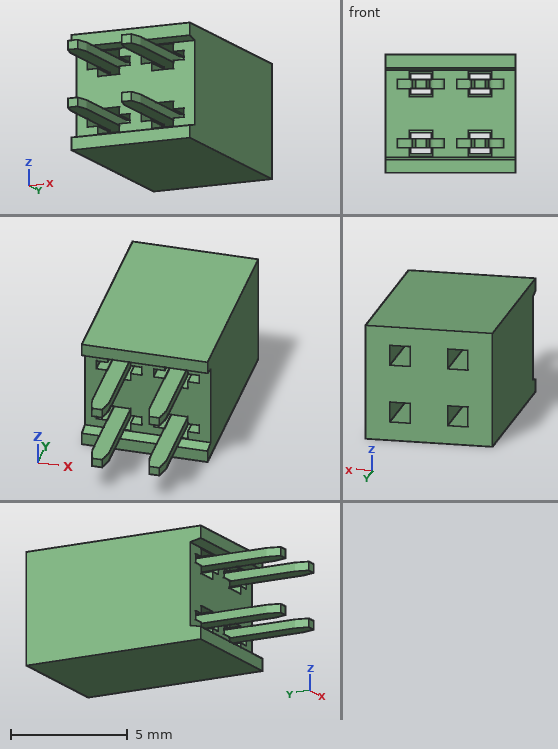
import cadquery as cq

TOTAL_LENGTH = 11.7
PITCH = 2.54
PIN_POSITIONS = [(sx * PITCH / 2, sz * PITCH / 2) for sx in (-1, 1) for sz in (-1, 1)]

HOUSING_WIDTH = 5.58
HOUSING_HEIGHT = 2 * PITCH
HOUSING_LENGTH = 8.51
LIP_EDGE_THICKNESS = 0.56
LIP_ROOT_THICKNESS = 0.68
RECESS_DEPTH = 0.51

CAVITY_DEPTH = 2.34
CAVITY_WIDTH = 1.02
CAVITY_HEIGHT = 1.1
THROUGH_HOLE_SIDE = 0.89

PIN_THICKNESS = 0.4
SHAFT_WIDTH = 0.75
SHOULDER_WIDTH = 2.01
SHOULDER_LENGTH = 1.17
SHOULDER_RADIUS = 0.2
TIP_WIDTH = 0.46
TIP_LENGTH = 0.6

TIP_Y = HOUSING_LENGTH - TOTAL_LENGTH
TAPER_Y = TIP_Y + TIP_LENGTH
CAVITY_FLOOR_Y = RECESS_DEPTH + CAVITY_DEPTH
SHOULDER_Y = CAVITY_FLOOR_Y - SHOULDER_LENGTH


def block(width, height, y_start, y_end, x, z):
    """Rectangular block centred on (x, z), running along Y from y_start to y_end."""
    length = y_end - y_start
    return cq.Workplane("XY").box(width, length, height).translate((x, y_start + length / 2, z))


def make_housing_blank():
    """Block with its profile in the YZ plane: a tapered lip along the top and bottom of the pin face."""
    half_height = HOUSING_HEIGHT / 2
    edge_z = half_height - LIP_EDGE_THICKNESS
    root_z = half_height - LIP_ROOT_THICKNESS
    profile = [
        (HOUSING_LENGTH, half_height),
        (0, half_height),
        (0, edge_z),
        (RECESS_DEPTH, root_z),
        (RECESS_DEPTH, -root_z),
        (0, -edge_z),
        (0, -half_height),
        (HOUSING_LENGTH, -half_height),
    ]
    return cq.Workplane("YZ").polyline(profile).close().extrude(HOUSING_WIDTH / 2, both=True)


def make_pin_opening(x, z):
    """Cavity with a wide slot for the pin shoulder, and a square hole through its floor."""
    cavity = block(CAVITY_WIDTH, CAVITY_HEIGHT, RECESS_DEPTH, CAVITY_FLOOR_Y, x, z)
    slot = block(SHOULDER_WIDTH, PIN_THICKNESS, RECESS_DEPTH, CAVITY_FLOOR_Y, x, z)
    through_hole = block(THROUGH_HOLE_SIDE, THROUGH_HOLE_SIDE, RECESS_DEPTH, HOUSING_LENGTH, x, z)
    return cavity.union(slot).union(through_hole)


def make_housing():
    housing = make_housing_blank()
    for x, z in PIN_POSITIONS:
        housing = housing.cut(make_pin_opening(x, z))
    return housing


def make_pin(x, z):
    """Flat pin: shoulder seated on the cavity floor, shaft with a tapered tip."""
    half_shoulder = SHOULDER_WIDTH / 2
    half_shaft = SHAFT_WIDTH / 2
    half_tip = TIP_WIDTH / 2
    outline = [
        (half_shoulder, CAVITY_FLOOR_Y),
        (half_shoulder, SHOULDER_Y),
        (half_shaft, SHOULDER_Y),
        (half_shaft, TAPER_Y),
        (half_tip, TIP_Y),
        (-half_tip, TIP_Y),
        (-half_shaft, TAPER_Y),
        (-half_shaft, SHOULDER_Y),
        (-half_shoulder, SHOULDER_Y),
        (-half_shoulder, CAVITY_FLOOR_Y),
    ]
    pin = cq.Workplane("XY").polyline(outline).close().extrude(PIN_THICKNESS / 2, both=True)
    shoulder_corners = cq.selectors.BoxSelector(
        (-SHOULDER_WIDTH, SHOULDER_Y - SHOULDER_RADIUS, -PIN_THICKNESS),
        (SHOULDER_WIDTH, SHOULDER_Y + SHOULDER_RADIUS, PIN_THICKNESS),
    )
    pin = pin.edges("|Z").edges(shoulder_corners).fillet(SHOULDER_RADIUS)
    return pin.translate((x, 0, z))


housing = make_housing()
pins = [make_pin(x, z) for x, z in PIN_POSITIONS]

result = cq.Compound.makeCompound([housing.val(), *[pin.val() for pin in pins]])